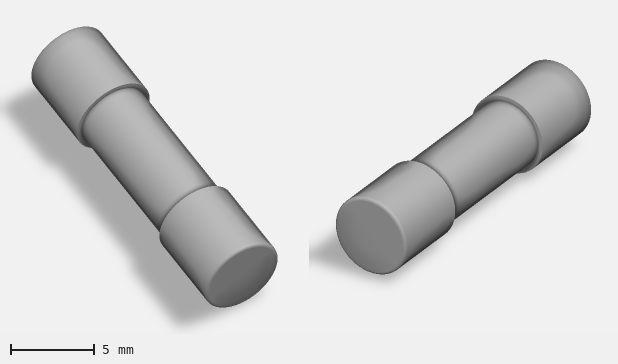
import cadquery as cq

overall_length = 19.9
cap_diameter = 5.1
cap_length = 5.3
cap_edge_radius = 0.2
tube_diameter = 4.4


def make_tube():
    """Tube running the full length, centred on the origin."""
    return cq.Workplane("YZ").circle(tube_diameter / 2).extrude(overall_length / 2, both=True)


def make_cap(side):
    """End cap on the -X (side = -1) or +X (side = 1) end, with its outer rim rounded."""
    outer_face = ">X" if side > 0 else "<X"
    return (
        cq.Workplane("YZ", origin=(side * overall_length / 2, 0, 0))
        .circle(cap_diameter / 2)
        .extrude(-side * cap_length)
        .faces(outer_face)
        .edges()
        .fillet(cap_edge_radius)
    )


result = make_tube()
for side in (-1, 1):
    result = result.union(make_cap(side))
result = result.clean()